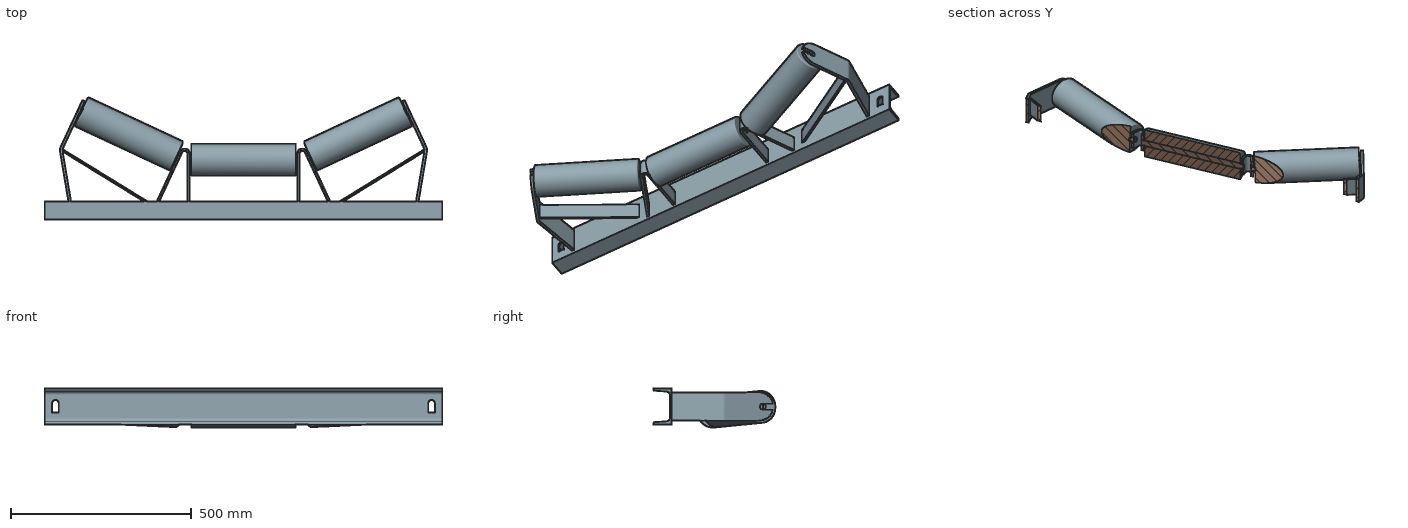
import cadquery as cq
import math

beam_length = 1100.0
beam_height = 100.0
flange_width = beam_height / 2
web_thickness = 5.0
flange_root_thickness = 10.0
flange_tip_thickness = 7.0
root_radius = 9.0
toe_radius = 3.0

slot_x = 520.0
slot_width = 18.0
slot_bottom_z = -16.0
slot_top_z = 18.0

roller_diameter = 89.0
roller_length = 290.0
roller_edge_radius = 3.0
shaft_diameter = 18.0
shaft_flat_width = 15.0
end_gap = 3.0

trough_angle = 25.0
forward_tilt = 2.4
centre_y = 115.0
centre_z = -14.0
wing_x = 317.0
wing_y = 187.0
wing_z = -7.2

hook_thickness = 7.0
hook_height = 51.0
hook_bend_radius = 11.0

outer_thickness = 8.0
outer_height = 78.0
outer_foot_x = 481.0
outer_bend_y = 144.0
outer_bend_radius = 8.0
outer_tip_reach = 31.0

strut_thickness = 5.0
strut_height = 51.0
strut_foot_x = 271.0
strut_top_y = 144.0

half_roller = roller_length / 2
bracket_face_offset = half_roller + end_gap
shaft_length = 2 * (bracket_face_offset + hook_thickness)

trough = math.radians(trough_angle)
x_dir = cq.Vector(1, 0, 0)
axis_dir = cq.Vector(math.cos(trough), math.sin(trough), 0)
arm_dir = cq.Vector(-math.sin(trough), math.cos(trough), 0)
web_back = cq.Vector(0, 0, 0)
wing_centre = cq.Vector(wing_x, wing_y, 0)
hook_face = wing_centre - axis_dir * bracket_face_offset
outer_face = wing_centre + axis_dir * bracket_face_offset


def crossing(point, direction, other_point, other_direction):
    """Point where two plan lines meet."""
    span = other_point - point
    return point + direction * (span.cross(other_direction).z / direction.cross(other_direction).z)


def foot(point, direction):
    """Point where a plan line meets the back of the web."""
    return crossing(point, direction, web_back, x_dir)


def slab(outline, height):
    """Strip standing across the web, centred on Z = 0, from its plan outline."""
    return outline.close().extrude(height / 2, both=True)


def plan_polygon(corners):
    return cq.Workplane("XY").polyline([(corner.x, corner.y) for corner in corners])


def beam():
    half_beam = beam_height / 2
    root_z = half_beam - flange_root_thickness
    tip_z = half_beam - flange_tip_thickness
    profile = [
        (0, -half_beam),
        (0, half_beam),
        (-flange_width, half_beam),
        (-flange_width, tip_z),
        (-web_thickness, root_z),
        (-web_thickness, -root_z),
        (-flange_width, -tip_z),
        (-flange_width, -half_beam),
    ]
    body = cq.Workplane("YZ").polyline(profile).close().extrude(beam_length / 2, both=True)
    for side in (-1, 1):
        root = cq.selectors.NearestToPointSelector((0, -web_thickness, side * root_z))
        body = body.edges("|X").edges(root).fillet(root_radius)
        toe = cq.selectors.NearestToPointSelector((0, -flange_width, side * tip_z))
        body = body.edges("|X").edges(toe).fillet(toe_radius)
        body = body.cut(mounting_slot(side * slot_x))
    return body


def mounting_slot(x):
    radius = slot_width / 2
    shoulder_z = slot_top_z - radius
    return (
        cq.Workplane("XZ")
        .moveTo(x - radius, slot_bottom_z)
        .lineTo(x - radius, shoulder_z)
        .threePointArc((x, slot_top_z), (x + radius, shoulder_z))
        .lineTo(x + radius, slot_bottom_z)
        .close()
        .extrude(web_thickness)
    )


def hook():
    upright_x = bracket_face_offset + hook_thickness / 2
    bend_x = upright_x + hook_bend_radius
    lean_line = hook_face - axis_dir * (hook_thickness / 2 + hook_bend_radius)
    bend = crossing(lean_line, arm_dir, cq.Vector(bend_x, 0, 0), cq.Vector(0, 1, 0))
    middle_angle = (math.pi + trough) / 2
    middle_dir = cq.Vector(math.cos(middle_angle), math.sin(middle_angle), 0)

    def bend_points(radius):
        return [bend - x_dir * radius, bend + middle_dir * radius, bend + axis_dir * radius]

    outside = bend_points(hook_bend_radius + hook_thickness / 2)
    inside = bend_points(hook_bend_radius - hook_thickness / 2)
    outside_foot = foot(outside[2], arm_dir)
    inside_foot = foot(inside[2], arm_dir)
    outline = (
        cq.Workplane("XY")
        .moveTo(outside[0].x, 0)
        .lineTo(outside[0].x, outside[0].y)
        .threePointArc(outside[1], outside[2])
        .lineTo(outside_foot.x, 0)
        .lineTo(inside_foot.x, 0)
        .lineTo(inside[2].x, inside[2].y)
        .threePointArc(inside[1], inside[0])
        .lineTo(inside[0].x, 0)
    )
    return slab(outline, hook_height).translate((0, 0, centre_z))


def outer_bracket():
    arm_line = outer_face + axis_dir * (outer_thickness / 2)
    bend = crossing(arm_line, arm_dir, cq.Vector(0, outer_bend_y, 0), x_dir)
    leg_foot = cq.Vector(outer_foot_x, 0, 0)
    leg_dir = (bend - leg_foot).normalized()
    leg_side = cq.Vector(leg_dir.y, -leg_dir.x, 0) * (outer_thickness / 2)
    arm_side = axis_dir * (outer_thickness / 2)
    tip = arm_line + arm_dir * outer_tip_reach
    inner_bend = crossing(bend - arm_side, arm_dir, leg_foot - leg_side, leg_dir)
    outer_bend = crossing(bend + arm_side, arm_dir, leg_foot + leg_side, leg_dir)
    corners = [
        foot(leg_foot - leg_side, leg_dir),
        inner_bend,
        tip - arm_side,
        tip + arm_side,
        outer_bend,
        foot(leg_foot + leg_side, leg_dir),
    ]
    plate = slab(plan_polygon(corners), outer_height)
    for corner, radius in (
        (inner_bend, outer_bend_radius),
        (outer_bend, outer_bend_radius + outer_thickness),
    ):
        bend_edge = cq.selectors.NearestToPointSelector(corner.toTuple())
        plate = plate.edges("|Z").edges(bend_edge).fillet(radius)

    tip_plane = cq.Workplane(cq.Plane(origin=tip, xDir=arm_dir, normal=axis_dir))
    half_height = outer_height / 2
    tip_waste = (
        tip_plane.moveTo(-half_height, half_height)
        .threePointArc((0, 0), (-half_height, -half_height))
        .lineTo(0, -half_height)
        .lineTo(0, half_height)
        .close()
        .extrude(outer_thickness, both=True)
    )
    shaft_z = wing_z + bracket_face_offset * math.sin(math.radians(forward_tilt))
    shaft_slot = (
        tip_plane.center(-outer_tip_reach / 2, shaft_z)
        .rect(outer_tip_reach, shaft_flat_width)
        .extrude(outer_thickness, both=True)
    )
    return plate.cut(tip_waste).cut(shaft_slot)


def strut():
    arm_line = outer_face + axis_dir * (outer_thickness / 2)
    top = crossing(arm_line, arm_dir, cq.Vector(0, strut_top_y, 0), x_dir)
    base = cq.Vector(strut_foot_x, 0, 0)
    along = (top - base).normalized()
    side = cq.Vector(-along.y, along.x, 0) * (strut_thickness / 2)
    corners = [
        foot(base - side, along),
        crossing(base - side, along, arm_line, arm_dir),
        crossing(base + side, along, arm_line, arm_dir),
        foot(base + side, along),
    ]
    return slab(plan_polygon(corners), strut_height)


def frame(shafts):
    """Welded frame: beam and brackets, with openings that fit the shafts."""
    body = beam()
    for part in (hook(), outer_bracket(), strut()):
        body = body.union(part).union(part.mirror("YZ"))
    for shaft in shafts:
        body = body.cut(shaft)
    return body


def roller():
    return (
        cq.Workplane("YZ")
        .workplane(offset=-half_roller)
        .circle(roller_diameter / 2)
        .extrude(roller_length)
        .edges()
        .fillet(roller_edge_radius)
        .cut(round_bar(roller_length))
    )


def round_bar(length):
    return cq.Workplane("YZ").workplane(offset=-length / 2).circle(shaft_diameter / 2).extrude(length)


def shaft():
    """Round bar with two flats on each end outside the roller."""
    flat_ends = cq.Workplane("XY").box(shaft_length, shaft_diameter, shaft_flat_width)
    return round_bar(shaft_length).intersect(flat_ends).union(round_bar(roller_length))


def at_station(body, side):
    """Put a body lying along X at the origin onto a roller axis: left -1, centre 0, right 1."""
    if side == 0:
        return body.translate((0, centre_y, centre_z))
    return (
        body.rotate((0, 0, 0), (0, 1, 0), -side * forward_tilt)
        .rotate((0, 0, 0), (0, 0, 1), side * trough_angle)
        .translate((side * wing_x, wing_y, wing_z))
    )


stations = (-1, 0, 1)
rollers = [at_station(roller(), side) for side in stations]
shafts = [at_station(shaft(), side) for side in stations]
bodies = [frame(shafts), *rollers, *shafts]
result = cq.Compound.makeCompound([body.val() for body in bodies])